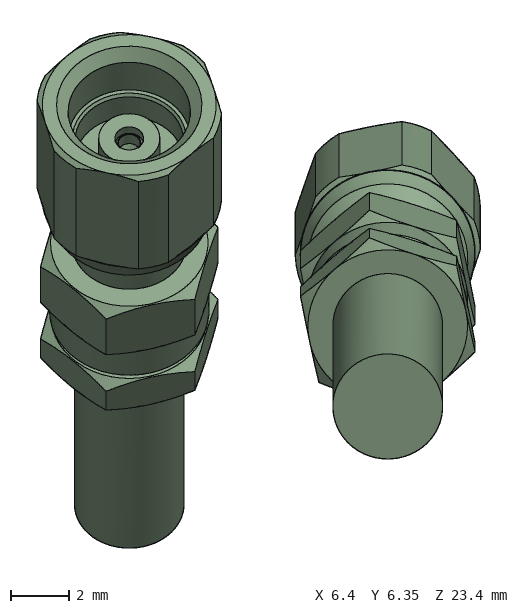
import cadquery as cq
import math

CLAMP_NUT_BOTTOM = 9.48
CLAMP_NUT_TOP = 11.1
COLLAR_BOTTOM = 11.33
BODY_HEX_BOTTOM = 12.74
BODY_HEX_TOP = 15.33
SHOULDER_BOTTOM = 16.7
SHOULDER_MIDDLE = 17.23
COUPLING_BOTTOM = 18.05
TOTAL_LENGTH = 23.4

TUBE_RADIUS = 1.9
NECK_RADIUS = 2.0
COLLAR_END_RADIUS = 2.55
SHOULDER_RADII = (2.2, 2.76, 3.02)

BODY_ACROSS_FLATS = 5.5
BODY_TOP_FACE_RADIUS = 2.72
COUPLING_ACROSS_FLATS = 6.0
COUPLING_TOP_FACE_RADIUS = 3.0
COUPLING_CORNER_RADIUS = 6.4 / 2
HEX_CHAMFER_SLOPE = math.tan(math.radians(30))
HEX_HALF_ANGLE = math.radians(30)
COLLAR_RADIUS = BODY_ACROSS_FLATS / 2

BORE_RADIUS = 2.1
BORE_CHAMFER = 0.4
BORE_DEPTH = 2.01
RECESS_RADIUS = 1.87
RECESS_CHAMFER = 0.1
RECESS_DEPTH = 3.28
INSULATOR_RADIUS = 1.05
INSULATOR_TOP_DEPTH = 1.97
CONTACT_RADIUS = 0.5
CONTACT_TOP_RADIUS = 0.4
CONTACT_SETBACK = 0.28
SOCKET_RADIUS = 0.37
SOCKET_DEPTH = 0.7
SOCKET_FLOOR_RADIUS = 0.2


def revolve_profile(points):
    """Revolve (radius, height) points, closed through the axis, about Z."""
    axis_points = [(0, points[0][1])] + points + [(0, points[-1][1])]
    return cq.Workplane("XZ").polyline(axis_points).close().revolve(360, (0, 0), (0, 1))


def chamfered_hex(bottom, top, across_flats, top_face_radius, corner_radius, rotation):
    """Hexagonal prism with rounded-off corners and conical chamfers at both ends."""
    flat_radius = across_flats / 2
    sharp_diameter = across_flats / math.cos(HEX_HALF_ANGLE)
    prism = (
        cq.Workplane("XY", origin=(0, 0, bottom))
        .polygon(6, sharp_diameter)
        .extrude(top - bottom)
        .rotate((0, 0, 0), (0, 0, 1), rotation)
    )
    bottom_drop = (corner_radius - flat_radius) * HEX_CHAMFER_SLOPE
    top_drop = (corner_radius - top_face_radius) * HEX_CHAMFER_SLOPE
    envelope = revolve_profile([
        (flat_radius, bottom),
        (corner_radius, bottom + bottom_drop),
        (corner_radius, top - top_drop),
        (top_face_radius, top),
    ])
    return prism.intersect(envelope)


def round_core():
    """Tube, collar with a tapered lower end, neck and two-cone shoulder below the coupling nut."""
    lower_radius, middle_radius, upper_radius = SHOULDER_RADII
    return revolve_profile([
        (TUBE_RADIUS, 0),
        (TUBE_RADIUS, CLAMP_NUT_TOP),
        (COLLAR_END_RADIUS, CLAMP_NUT_TOP),
        (COLLAR_RADIUS, COLLAR_BOTTOM),
        (COLLAR_RADIUS, BODY_HEX_BOTTOM),
        (NECK_RADIUS, BODY_HEX_BOTTOM),
        (NECK_RADIUS, SHOULDER_BOTTOM),
        (lower_radius, SHOULDER_BOTTOM),
        (middle_radius, SHOULDER_MIDDLE),
        (upper_radius, COUPLING_BOTTOM),
    ])


def mating_socket():
    """Chamfered bore that steps down through a ring-shaped seat to a narrower recess."""
    return revolve_profile([
        (RECESS_RADIUS, TOTAL_LENGTH - RECESS_DEPTH),
        (RECESS_RADIUS, TOTAL_LENGTH - BORE_DEPTH - RECESS_CHAMFER),
        (RECESS_RADIUS + RECESS_CHAMFER, TOTAL_LENGTH - BORE_DEPTH),
        (BORE_RADIUS, TOTAL_LENGTH - BORE_DEPTH),
        (BORE_RADIUS, TOTAL_LENGTH - BORE_CHAMFER),
        (BORE_RADIUS + BORE_CHAMFER, TOTAL_LENGTH),
    ])


def insulator():
    """Central post on the recess floor, around a contact set slightly below its end face."""
    post_top = TOTAL_LENGTH - INSULATOR_TOP_DEPTH
    contact_top = post_top - CONTACT_SETBACK
    contact_shoulder = contact_top - (CONTACT_RADIUS - CONTACT_TOP_RADIUS)
    socket_floor = contact_top - SOCKET_DEPTH
    socket_taper = SOCKET_RADIUS - SOCKET_FLOOR_RADIUS
    post = revolve_profile([
        (INSULATOR_RADIUS, TOTAL_LENGTH - RECESS_DEPTH),
        (INSULATOR_RADIUS, post_top),
    ])
    contact_hole = revolve_profile([
        (CONTACT_RADIUS, socket_floor),
        (CONTACT_RADIUS, post_top),
    ])
    contact = revolve_profile([
        (CONTACT_RADIUS, socket_floor),
        (CONTACT_RADIUS, contact_shoulder),
        (CONTACT_TOP_RADIUS, contact_top),
    ])
    socket = revolve_profile([
        (SOCKET_FLOOR_RADIUS, socket_floor),
        (SOCKET_RADIUS, socket_floor + socket_taper),
        (SOCKET_RADIUS, contact_top),
    ])
    return post.cut(contact_hole).union(contact.cut(socket))


body_corner_radius = COLLAR_RADIUS / math.cos(HEX_HALF_ANGLE)
clamp_nut = chamfered_hex(
    CLAMP_NUT_BOTTOM, CLAMP_NUT_TOP,
    BODY_ACROSS_FLATS, BODY_TOP_FACE_RADIUS, body_corner_radius, rotation=30,
)
body_hex = chamfered_hex(
    BODY_HEX_BOTTOM, BODY_HEX_TOP,
    BODY_ACROSS_FLATS, BODY_TOP_FACE_RADIUS, body_corner_radius, rotation=30,
)
coupling_nut = chamfered_hex(
    COUPLING_BOTTOM, TOTAL_LENGTH,
    COUPLING_ACROSS_FLATS, COUPLING_TOP_FACE_RADIUS, COUPLING_CORNER_RADIUS, rotation=0,
)

result = (
    round_core()
    .union(clamp_nut)
    .union(body_hex)
    .union(coupling_nut)
    .cut(mating_socket())
    .union(insulator())
)